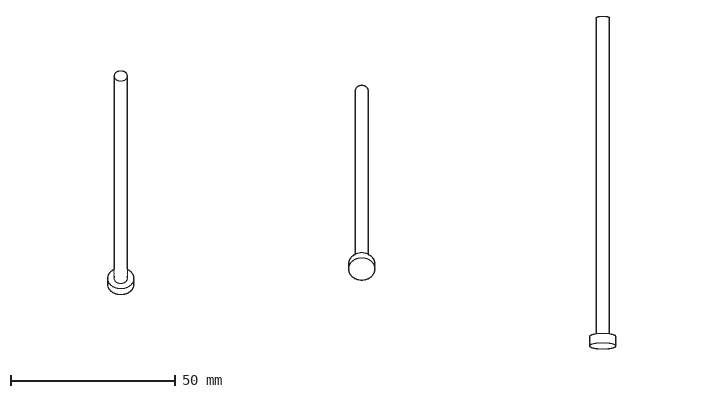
import cadquery as cq

total_length = 103.0
head_diameter = 8.0
head_height = 3.0
shank_diameter = 4.0
shank_length = total_length - head_height

head = cq.Workplane("XY").circle(head_diameter / 2).extrude(head_height)

result = head.faces(">Z").workplane().circle(shank_diameter / 2).extrude(shank_length)